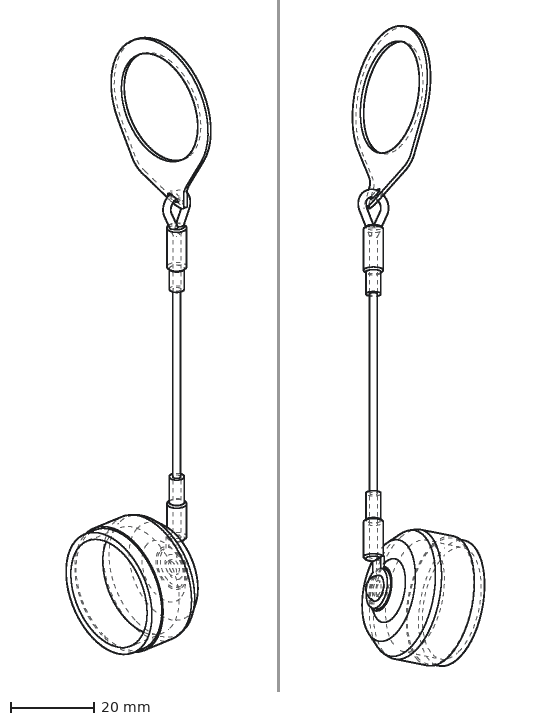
import cadquery as cq
import math


OVERALL_HEIGHT = 158.9

CAP_RADIUS = 15.9
LIP_RADIUS = 15.4
LIP_LENGTH = 3.2
BAND_END_Y = 12.4
SHOULDER_Y = 13.8
BACK_FACE_Y = 17.6
BACK_FACE_RADIUS = 12.4
BORE_RADIUS = 13.7
BORE_DEPTH = 10.3

BOSS_BASE_RADIUS = 7.8
BOSS_TOP_RADIUS = 5.4
BOSS_HEIGHT = BOSS_BASE_RADIUS - BOSS_TOP_RADIUS
BOSS_TOP_Y = BACK_FACE_Y + BOSS_HEIGHT
POST_RADIUS = 1.9
BUTTON_RADIUS = 3.2
BUTTON_HEIGHT = 2.5

CABLE_RADIUS = 1.0
CABLE_Y = 22.0
LOOP_RADIUS = 3.2
LOOP_CENTER_Z = 97.0
LOOP_HALF_ANGLE = math.radians(25)
LOOP_APEX_Z = LOOP_CENTER_Z - LOOP_RADIUS / math.sin(LOOP_HALF_ANGLE)

BARREL_RADIUS = 2.4
BARREL_CHAMFER = 0.5
COLLAR_DIAMETER = 3.7
COLLAR_RADIUS = COLLAR_DIAMETER / 2
FERRULE_TOP_Z = 91.7
FERRULE_BARREL_LENGTH = 11.5
FERRULE_COLLAR_LENGTH = 5.5
TERMINAL_BOTTOM_Z = 7.3
TERMINAL_BARREL_LENGTH = 9.8
TERMINAL_COLLAR_LENGTH = 6.8
CABLE_BOTTOM_Z = TERMINAL_BOTTOM_Z + BARREL_CHAMFER

EYELET_RADIUS = 5.0
EYELET_THICKNESS = 1.0
TONGUE_WIDTH = COLLAR_DIAMETER

RING_DIAMETER = 34.8
RING_RADIUS = RING_DIAMETER / 2
RING_HOLE_RADIUS = 13.7
RING_TOP_Z = OVERALL_HEIGHT - CAP_RADIUS
RING_CENTER_Z = RING_TOP_Z - RING_RADIUS
SHEET_THICKNESS = 1.0
SHEET_FRONT_Y = 16.4
BEND_START_Z = 108.3
BEND_RADIUS = 6.4
BEND_ANGLE = math.radians(33)
TAPER_ANGLE = math.radians(31.5)
TIP_RADIUS = 2.5
TIP_Z = 96.3
TAB_HOLE_RADIUS = 1.6
TAB_HOLE_Z = 100.0


def cylinder_along_y(radius, start_y, length, z=0.0):
    """Cylinder whose axis runs in the +Y direction."""
    return cq.Workplane(cq.Solid.makeCylinder(radius, length, cq.Vector(0, start_y, z), cq.Vector(0, 1, 0)))


def cylinder_along_cable(radius, bottom_z, length):
    """Upright cylinder on the cable axis."""
    return cq.Workplane("XY", origin=(0, CABLE_Y, bottom_z)).circle(radius).extrude(length)


def make_cap():
    """Turned cap with its blind bore, back boss, post and domed button."""
    post_end_y = BOSS_TOP_Y + EYELET_THICKNESS
    dome_radius = (BUTTON_RADIUS**2 + BUTTON_HEIGHT**2) / (2 * BUTTON_HEIGHT)
    dome_center_y = post_end_y + BUTTON_HEIGHT - dome_radius
    dome_middle_angle = (math.pi / 2 + math.atan2(post_end_y - dome_center_y, BUTTON_RADIUS)) / 2
    dome_middle = (
        dome_radius * math.cos(dome_middle_angle),
        dome_center_y + dome_radius * math.sin(dome_middle_angle),
    )
    profile = [
        (0, 0),
        (LIP_RADIUS, 0),
        (LIP_RADIUS, LIP_LENGTH),
        (CAP_RADIUS, LIP_LENGTH),
        (CAP_RADIUS, BAND_END_Y),
        (LIP_RADIUS, SHOULDER_Y),
        (BACK_FACE_RADIUS, BACK_FACE_Y),
        (BOSS_BASE_RADIUS, BACK_FACE_Y),
        (BOSS_TOP_RADIUS, BOSS_TOP_Y),
        (POST_RADIUS, BOSS_TOP_Y),
        (POST_RADIUS, post_end_y),
        (BUTTON_RADIUS, post_end_y),
    ]
    turned = (
        cq.Workplane("XY")
        .polyline(profile)
        .threePointArc(dome_middle, (0, post_end_y + BUTTON_HEIGHT))
        .close()
        .revolve(360, (0, 0, 0), (0, 1, 0))
    )
    return turned.cut(cylinder_along_y(BORE_RADIUS, 0, BORE_DEPTH))


def make_cable():
    """Straight cable that ends in a teardrop loop in the YZ plane."""
    tangent_y = LOOP_RADIUS * math.cos(LOOP_HALF_ANGLE)
    tangent_z = LOOP_CENTER_Z - LOOP_RADIUS * math.sin(LOOP_HALF_ANGLE)
    arc_middle_angle = (math.pi / 2 - LOOP_HALF_ANGLE) / 2
    arc_middle_y = LOOP_RADIUS * math.cos(arc_middle_angle)
    arc_middle_z = LOOP_CENTER_Z + LOOP_RADIUS * math.sin(arc_middle_angle)
    half_path = (
        cq.Workplane("YZ")
        .moveTo(CABLE_Y, LOOP_APEX_Z)
        .lineTo(CABLE_Y + tangent_y, tangent_z)
        .threePointArc((CABLE_Y + arc_middle_y, arc_middle_z), (CABLE_Y, LOOP_CENTER_Z + LOOP_RADIUS))
    )
    leg_direction = (0, math.sin(LOOP_HALF_ANGLE), math.cos(LOOP_HALF_ANGLE))
    leg_start = cq.Plane(origin=(0, CABLE_Y, LOOP_APEX_Z), xDir=(1, 0, 0), normal=leg_direction)
    half_loop = cq.Workplane(leg_start).circle(CABLE_RADIUS).sweep(half_path)
    other_half = half_loop.mirror("XZ", (0, CABLE_Y, 0))
    straight = cylinder_along_cable(CABLE_RADIUS, CABLE_BOTTOM_Z, LOOP_APEX_Z - CABLE_BOTTOM_Z)
    return straight.union(half_loop).union(other_half)


def make_barrel(bottom_z, length):
    """Wide part of a sleeve, chamfered at both ends."""
    return cylinder_along_cable(BARREL_RADIUS, bottom_z, length).edges("%CIRCLE").chamfer(BARREL_CHAMFER)


def make_ferrule(cable):
    """Sleeve below the loop, with its collar pointing down the cable."""
    barrel_bottom_z = FERRULE_TOP_Z - FERRULE_BARREL_LENGTH
    barrel = make_barrel(barrel_bottom_z, FERRULE_BARREL_LENGTH)
    collar_bottom_z = barrel_bottom_z - FERRULE_COLLAR_LENGTH
    collar = cylinder_along_cable(COLLAR_RADIUS, collar_bottom_z, FERRULE_COLLAR_LENGTH)
    return barrel.union(collar).cut(cable)


def make_terminal(cable):
    """Sleeve at the cap end, with a flat eyelet that fits around the post of the cap."""
    barrel = make_barrel(TERMINAL_BOTTOM_Z, TERMINAL_BARREL_LENGTH)
    collar_bottom_z = TERMINAL_BOTTOM_Z + TERMINAL_BARREL_LENGTH
    collar = cylinder_along_cable(COLLAR_RADIUS, collar_bottom_z, TERMINAL_COLLAR_LENGTH)
    disc = cylinder_along_y(EYELET_RADIUS, BOSS_TOP_Y, EYELET_THICKNESS)
    tongue = (
        cq.Workplane("XY", origin=(0, BOSS_TOP_Y + EYELET_THICKNESS / 2, 0))
        .rect(TONGUE_WIDTH, EYELET_THICKNESS)
        .extrude(TERMINAL_BOTTOM_Z + BARREL_CHAMFER)
    )
    post_hole = cylinder_along_y(POST_RADIUS, BOSS_TOP_Y, EYELET_THICKNESS)
    return barrel.union(collar).union(disc).union(tongue).cut(post_hole).cut(cable)


def bent_sheet():
    """Wide sheet strip: upright, then bent back and sloping down to the tip."""
    inner_radius = BEND_RADIUS - SHEET_THICKNESS / 2
    outer_radius = BEND_RADIUS + SHEET_THICKNESS / 2
    bend_center_y = SHEET_FRONT_Y + outer_radius
    slope_drop = BEND_START_Z - BEND_RADIUS * math.sin(BEND_ANGLE) - TIP_Z
    slope_length = slope_drop / math.cos(BEND_ANGLE)

    def bend_point(radius, angle, along_slope=0.0):
        return (
            bend_center_y - radius * math.cos(angle) + along_slope * math.sin(angle),
            BEND_START_Z - radius * math.sin(angle) - along_slope * math.cos(angle),
        )

    return (
        cq.Workplane("YZ")
        .moveTo(SHEET_FRONT_Y, RING_TOP_Z)
        .lineTo(*bend_point(outer_radius, 0))
        .threePointArc(bend_point(outer_radius, BEND_ANGLE / 2), bend_point(outer_radius, BEND_ANGLE))
        .lineTo(*bend_point(outer_radius, BEND_ANGLE, slope_length))
        .lineTo(*bend_point(inner_radius, BEND_ANGLE, slope_length))
        .lineTo(*bend_point(inner_radius, BEND_ANGLE))
        .threePointArc(bend_point(inner_radius, BEND_ANGLE / 2), bend_point(inner_radius, 0))
        .lineTo(SHEET_FRONT_Y + SHEET_THICKNESS, RING_TOP_Z)
        .close()
        .extrude(RING_RADIUS, both=True)
    )


def make_ring_tab():
    """Ring with tangent tapered sides, bent with the sheet and drilled near its rounded tip."""
    tangent_x = RING_RADIUS * math.cos(TAPER_ANGLE)
    tangent_z = RING_CENTER_Z - RING_RADIUS * math.sin(TAPER_ANGLE)
    bend_start_x = tangent_x - (tangent_z - BEND_START_Z) * math.tan(TAPER_ANGLE)

    def bend_edge(angle):
        x = bend_start_x - BEND_RADIUS * angle * math.tan(TAPER_ANGLE)
        return x, BEND_START_Z - BEND_RADIUS * math.sin(angle)

    tip_x = TIP_RADIUS * math.cos(TAPER_ANGLE)
    tip_tangent_z = TIP_Z + TIP_RADIUS * (1 - math.sin(TAPER_ANGLE)) * math.cos(BEND_ANGLE)
    bend_middle_x, bend_middle_z = bend_edge(BEND_ANGLE / 2)
    bend_end_x, bend_end_z = bend_edge(BEND_ANGLE)
    outline_end_y = CABLE_Y + LOOP_RADIUS
    outline = (
        cq.Workplane("XZ")
        .moveTo(-tangent_x, tangent_z)
        .threePointArc((0, RING_TOP_Z), (tangent_x, tangent_z))
        .lineTo(bend_start_x, BEND_START_Z)
        .threePointArc((bend_middle_x, bend_middle_z), (bend_end_x, bend_end_z))
        .lineTo(tip_x, tip_tangent_z)
        .threePointArc((0, TIP_Z), (-tip_x, tip_tangent_z))
        .lineTo(-bend_end_x, bend_end_z)
        .threePointArc((-bend_middle_x, bend_middle_z), (-bend_start_x, BEND_START_Z))
        .close()
        .extrude(-outline_end_y)
    )

    slope_run = bend_end_z - TAB_HOLE_Z
    bend_depth = BEND_RADIUS * (1 - math.cos(BEND_ANGLE))
    hole_y = SHEET_FRONT_Y + SHEET_THICKNESS / 2 + bend_depth + slope_run * math.tan(BEND_ANGLE)
    slope_normal = (0, math.cos(BEND_ANGLE), math.sin(BEND_ANGLE))
    hole_plane = cq.Plane(origin=(0, hole_y, TAB_HOLE_Z), xDir=(1, 0, 0), normal=slope_normal)
    tab_hole = cq.Workplane(hole_plane).circle(TAB_HOLE_RADIUS).extrude(SHEET_THICKNESS, both=True)
    ring_hole = cylinder_along_y(RING_HOLE_RADIUS, SHEET_FRONT_Y, SHEET_THICKNESS, RING_CENTER_Z)
    return bent_sheet().intersect(outline).cut(ring_hole).cut(tab_hole)


cap = make_cap()
cable = make_cable()
ferrule = make_ferrule(cable)
terminal = make_terminal(cable)
ring_tab = make_ring_tab()

result = cq.Compound.makeCompound([cap.val(), cable.val(), ferrule.val(), terminal.val(), ring_tab.val()])